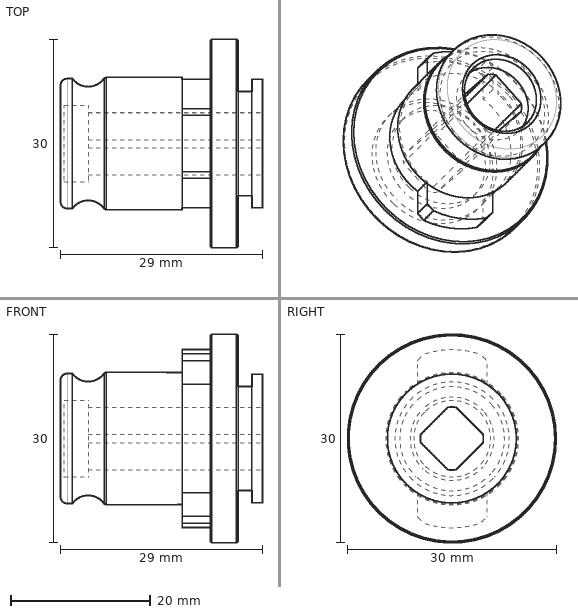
import cadquery as cq

NOSE_FILLET = 1.0
GROOVE_START = 1.7
GROOVE_END = 6.3
BODY_START = 6.6
COLLAR_START = 17.45
FLANGE_START = 21.5
FLANGE_END = 25.5
DISC_START = 27.48
TOTAL_LENGTH = 29.0

NOSE_DIAMETER = 18.7
GROOVE_DIAMETER = 16.38
GROOVE_END_DIAMETER = 18.8
BODY_DIAMETER = 19.05
COLLAR_DIAMETER = 18.5
FLANGE_DIAMETER = 30.0
NECK_DIAMETER = 15.0
DISC_DIAMETER = 18.5
FLANGE_CHAMFER = 0.25

LUG_SPAN = 25.6
LUG_WIDTH = 10.0
LUG_SHOULDER_HEIGHT = 11.2

MOUTH_DIAMETER = 12.0
SOCKET_DIAMETER = 11.0
MOUTH_DEPTH = 0.5
SOCKET_DEPTH = 4.0
SQUARE_ACROSS_FLATS = 7.15
SQUARE_CORNER_DIAMETER = 9.0


def cylinder(diameter, start, end):
    """Solid cylinder on the X axis between two axial positions."""
    return cq.Workplane("YZ", origin=(start, 0, 0)).circle(diameter / 2).extrude(end - start)


def make_grooved_body():
    """Nose, ball groove and main barrel, revolved about X."""
    nose_radius = NOSE_DIAMETER / 2
    body_radius = BODY_DIAMETER / 2
    groove_middle = (GROOVE_START + GROOVE_END) / 2
    profile = (
        cq.Workplane("XY")
        .lineTo(0, nose_radius - NOSE_FILLET)
        .radiusArc((NOSE_FILLET, nose_radius), NOSE_FILLET)
        .lineTo(GROOVE_START, nose_radius)
        .threePointArc((groove_middle, GROOVE_DIAMETER / 2), (GROOVE_END, GROOVE_END_DIAMETER / 2))
        .lineTo(BODY_START, body_radius)
        .lineTo(COLLAR_START, body_radius)
        .lineTo(COLLAR_START, 0)
        .close()
    )
    return profile.revolve(360, (0, 0, 0), (1, 0, 0))


def make_lugs():
    """Opposed lugs in +Z and -Z: a chamfered bar trimmed to a round outer end."""
    length = FLANGE_START - COLLAR_START
    half_width = LUG_WIDTH / 2
    cut_height = LUG_SHOULDER_HEIGHT + half_width
    outline = [
        (half_width, -LUG_SHOULDER_HEIGHT),
        (half_width, LUG_SHOULDER_HEIGHT),
        (0, cut_height),
        (-half_width, LUG_SHOULDER_HEIGHT),
        (-half_width, -LUG_SHOULDER_HEIGHT),
        (0, -cut_height),
    ]
    bar = cq.Workplane("YZ", origin=(COLLAR_START, 0, 0)).polyline(outline).close().extrude(length)
    return bar.intersect(cylinder(LUG_SPAN, COLLAR_START, FLANGE_START))


def make_bore():
    """Countersunk round socket followed by the through square hole."""
    mouth = (
        cq.Workplane("YZ")
        .circle(MOUTH_DIAMETER / 2)
        .workplane(offset=MOUTH_DEPTH)
        .circle(SOCKET_DIAMETER / 2)
        .loft()
    )
    socket = cylinder(SOCKET_DIAMETER, 0, SOCKET_DEPTH)
    square = (
        cq.Workplane("YZ")
        .rect(SQUARE_ACROSS_FLATS, SQUARE_ACROSS_FLATS)
        .extrude(TOTAL_LENGTH)
        .rotate((0, 0, 0), (1, 0, 0), 45)
        .intersect(cylinder(SQUARE_CORNER_DIAMETER, 0, TOTAL_LENGTH))
    )
    return mouth.union(socket).union(square)


collar = cylinder(COLLAR_DIAMETER, COLLAR_START, FLANGE_START)
flange = cylinder(FLANGE_DIAMETER, FLANGE_START, FLANGE_END).edges().chamfer(FLANGE_CHAMFER)
neck = cylinder(NECK_DIAMETER, FLANGE_END, DISC_START)
end_disc = cylinder(DISC_DIAMETER, DISC_START, TOTAL_LENGTH)

result = make_grooved_body()
for feature in (collar, make_lugs(), flange, neck, end_disc):
    result = result.union(feature)
result = result.cut(make_bore())